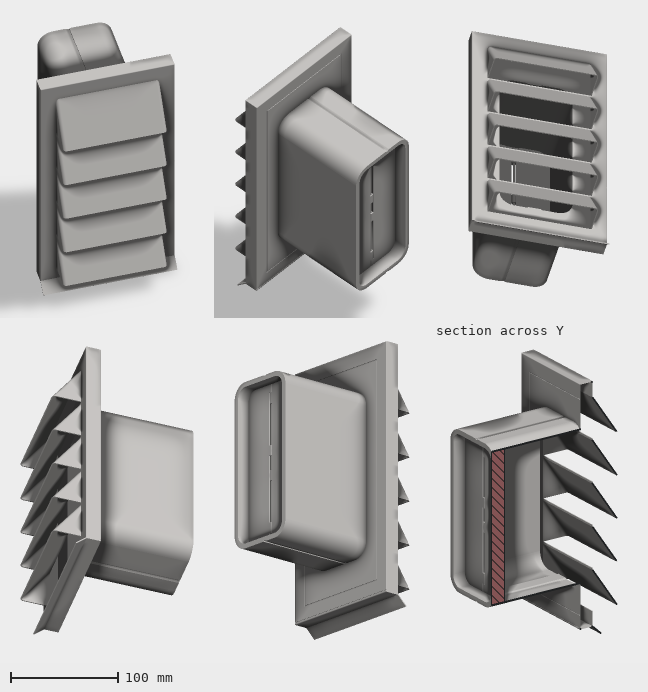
import cadquery as cq
import math


SHEET = 0.97
OVERLAP = 0.13

TRAY_DEPTH = 15.0
TRAY_WIDTH = 130.0
TRAY_HEIGHT = 247.0
TRAY_BEND = 0.8

GROOVE_WIDTH = 1.0
GROOVE_DEPTH = 0.5
GROOVE_OUTER_WIDTH = 102.5
GROOVE_OUTER_HEIGHT = 218.0
SEAM_RISE = 1.5
SEAM_WIDTH = 0.8

DRIP_REACH = 10.0
DRIP_DROP = 9.5
DRIP_BITE = 0.8

HOOD_COUNT = 5
HOOD_PITCH = 43.4
HOOD_REACH = 28.2
HOOD_HEIGHT = 41.8
HOOD_WIDTH = 100.5
HOOD_FILLET = 3.0
LOWEST_HOOD_Z = -107.8

DUCT_LENGTH = 100.0
DUCT_WIDTH = 72.0
DUCT_HEIGHT = 164.0
DUCT_RADIUS = 15.1
DUCT_Z = 0.8

LAP_EDGE_Y = 5.1
JOGGLE_LOW_Y = -7.0
JOGGLE_HIGH_Y = -9.0

FRAME_DEPTH = 15.0
FRAME_WALL = 3.8

FLAP_SETBACK = 13.0
KNUCKLE_RADIUS = 2.0
ROD_RADIUS = 1.0
MIDDLE_KNUCKLE_LOW = 7.2
MIDDLE_KNUCKLE_HIGH = 17.5
OUTER_KNUCKLE_LOW = 58.5
OUTER_KNUCKLE_HIGH = 69.3

DUCT_END_X = -DUCT_LENGTH
BORE_WIDTH = DUCT_WIDTH - 2 * SHEET
BORE_HEIGHT = DUCT_HEIGHT - 2 * SHEET
BORE_RADIUS = DUCT_RADIUS - SHEET
OPENING_WIDTH = BORE_WIDTH - 2 * FRAME_WALL
OPENING_HEIGHT = BORE_HEIGHT - 2 * FRAME_WALL
OPENING_RADIUS = BORE_RADIUS - FRAME_WALL
FLAP_X = DUCT_END_X + FLAP_SETBACK
HINGE_X = FLAP_X + KNUCKLE_RADIUS
KNUCKLE_SPANS = [
    (-OUTER_KNUCKLE_HIGH, -OUTER_KNUCKLE_LOW),
    (MIDDLE_KNUCKLE_LOW, MIDDLE_KNUCKLE_HIGH),
    (OUTER_KNUCKLE_HIGH, OPENING_HEIGHT / 2),
]


def block(x_range, y_range, z_range):
    """Box between the given limits."""
    (x0, x1), (y0, y1), (z0, z1) = x_range, y_range, z_range
    return cq.Workplane("XY").box(x1 - x0, y1 - y0, z1 - z0, centered=False).translate((x0, y0, z0))


def centred_block(x_range, width, height):
    """Box between two x positions, centred on the X axis."""
    return block(x_range, (-width / 2, width / 2), (-height / 2, height / 2))


def rounded_block(x_range, width, height, radius):
    """Centred box on the duct axis whose four long edges are rounded."""
    return centred_block(x_range, width, height).edges("|X").fillet(radius).translate((0, 0, DUCT_Z))


def side_extrusion(points, width):
    """XZ outline extruded symmetrically along Y."""
    return cq.Workplane("XZ").polyline(points).close().extrude(width / 2, both=True)


def tray():
    shell = centred_block((0, TRAY_DEPTH), TRAY_WIDTH, TRAY_HEIGHT)
    shell = shell.faces("<X or >X").edges().fillet(TRAY_BEND)
    cavity = centred_block((SHEET, TRAY_DEPTH - SHEET), TRAY_WIDTH - 2 * SHEET, TRAY_HEIGHT - 2 * SHEET)
    groove_x = (0, GROOVE_DEPTH)
    groove = centred_block(groove_x, GROOVE_OUTER_WIDTH, GROOVE_OUTER_HEIGHT).cut(
        centred_block(
            groove_x,
            GROOVE_OUTER_WIDTH - 2 * GROOVE_WIDTH,
            GROOVE_OUTER_HEIGHT - 2 * GROOVE_WIDTH,
        )
    )
    seam_z = -TRAY_HEIGHT / 2 + SEAM_RISE
    seam = block(groove_x, (-TRAY_WIDTH / 2, TRAY_WIDTH / 2), (seam_z, seam_z + SEAM_WIDTH))
    return shell.cut(cavity).cut(groove).cut(seam)


def drip_strip():
    bottom = -TRAY_HEIGHT / 2
    tip_x = TRAY_DEPTH + DRIP_REACH
    tip_z = bottom - DRIP_DROP
    points = [
        (TRAY_DEPTH - DRIP_BITE, bottom),
        (TRAY_DEPTH, bottom + DRIP_BITE),
        (tip_x, tip_z + DRIP_BITE),
        (tip_x - DRIP_BITE, tip_z),
    ]
    return side_extrusion(points, TRAY_WIDTH)


def hood_wedge(inset, back_x):
    """Wedge below a slope that lies `inset` inside the outer hood slope, starting at back_x."""
    rise = HOOD_HEIGHT / HOOD_REACH
    drop = inset * math.hypot(1, rise)
    top_z = HOOD_HEIGHT - drop - rise * (back_x - TRAY_DEPTH)
    tip_x = TRAY_DEPTH + HOOD_REACH - drop / rise
    wedge = side_extrusion([(back_x, 0), (tip_x, 0), (back_x, top_z)], HOOD_WIDTH - 2 * inset)
    slope_sides = wedge.faces(">Y or <Y").edges("not(|X or |Z)")
    return wedge.newObject(slope_sides.vals()).fillet(HOOD_FILLET - inset)


def add_hoods(body):
    outer = hood_wedge(0, TRAY_DEPTH - OVERLAP)
    inner = hood_wedge(SHEET, TRAY_DEPTH - SHEET)
    for index in range(HOOD_COUNT):
        place = (0, 0, LOWEST_HOOD_Z + index * HOOD_PITCH)
        body = body.union(outer.translate(place)).cut(inner.translate(place))
    return body


def on_both_laps(points, x_range):
    """Extrude a seam outline (y, distance inward from the outer face) at the duct top and bottom."""
    prisms = cq.Workplane("YZ", origin=(x_range[0], 0, 0))
    half = DUCT_HEIGHT / 2
    length = x_range[1] - x_range[0]
    top = prisms.polyline([(y, half - inward) for y, inward in points]).close().extrude(length)
    return top.union(top.mirror("XY")).translate((0, 0, DUCT_Z))


def duct_lap(x_range):
    """Second sheet layer under each seam."""
    points = [
        (LAP_EDGE_Y, SHEET - OVERLAP),
        (LAP_EDGE_Y, 2 * SHEET),
        (JOGGLE_LOW_Y, 2 * SHEET),
        (JOGGLE_HIGH_Y, SHEET),
        (JOGGLE_HIGH_Y, SHEET - OVERLAP),
    ]
    return on_both_laps(points, x_range)


def duct_seam(x_range):
    """Outer step where one sheet edge ends and the other sheet dips below it."""
    points = [(-LAP_EDGE_Y, 0), (-LAP_EDGE_Y, SHEET), (JOGGLE_LOW_Y, SHEET), (JOGGLE_HIGH_Y, 0)]
    return on_both_laps(points, x_range)


def make_cowl():
    bore = rounded_block((DUCT_END_X, SHEET), BORE_WIDTH, BORE_HEIGHT, BORE_RADIUS)
    tube = rounded_block((DUCT_END_X, SHEET), DUCT_WIDTH, DUCT_HEIGHT, DUCT_RADIUS)
    body = tray().union(drip_strip())
    body = add_hoods(body).union(tube).cut(bore)
    return body.union(duct_lap((DUCT_END_X, SHEET))).cut(duct_seam((DUCT_END_X, 0)))


def make_frame(cowl):
    x_range = (DUCT_END_X, DUCT_END_X + FRAME_DEPTH)
    ring = rounded_block(x_range, BORE_WIDTH, BORE_HEIGHT, BORE_RADIUS)
    ring = ring.cut(rounded_block(x_range, OPENING_WIDTH, OPENING_HEIGHT, OPENING_RADIUS))
    rod_length = OPENING_HEIGHT + FRAME_WALL
    return ring.union(hinge_cylinder(ROD_RADIUS, -rod_length / 2, rod_length / 2)).cut(cowl)


def hinge_cylinder(radius, low, high):
    base = cq.Workplane("XY", origin=(HINGE_X, 0, DUCT_Z + low))
    return base.circle(radius).extrude(high - low)


def make_flap(turn):
    """Leaf on the +Y side, turned about the duct axis by `turn` degrees."""
    x_range = (FLAP_X, FLAP_X + SHEET)
    opening = rounded_block(x_range, OPENING_WIDTH, OPENING_HEIGHT, OPENING_RADIUS)
    leaf = opening.intersect(
        block(x_range, (KNUCKLE_RADIUS, OPENING_WIDTH), (-OPENING_HEIGHT, OPENING_HEIGHT))
    )
    for low, high in KNUCKLE_SPANS:
        web = block(x_range, (0, KNUCKLE_RADIUS), (DUCT_Z + low, DUCT_Z + high))
        leaf = leaf.union(web).union(hinge_cylinder(KNUCKLE_RADIUS, low, high))
    leaf = leaf.cut(hinge_cylinder(ROD_RADIUS, -OPENING_HEIGHT / 2, OPENING_HEIGHT / 2))
    return leaf.rotate((0, 0, DUCT_Z), (1, 0, DUCT_Z), turn)


cowl = make_cowl()
frame = make_frame(cowl)
flaps = [make_flap(turn) for turn in (0, 180)]

bodies = [cowl, frame, *flaps]
result = cq.Compound.makeCompound([body.solids().val() for body in bodies])